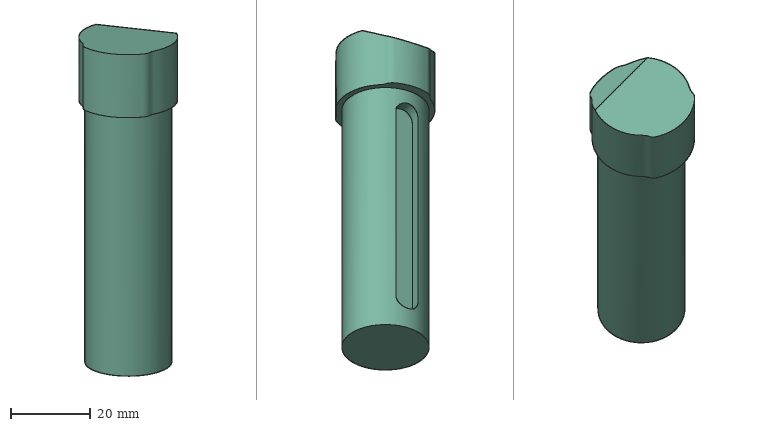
import cadquery as cq
import math

total_length = 87.0
head_height = 16.9
shaft_diameter = 22.0

lobe_radius = 13.5
side_radius = 12.485
blend_radius = 3.0
front_lobe_half_angle = 35.2
back_lobe_half_angle = 21.0

slope_start_y = 6.4
slope_angle = 30.0

slot_width = 6.5
slot_bottom = 5.7
slot_top = 66.4
slot_depth = slot_width / 2

head_bottom = total_length - head_height


def polar(radius, angle):
    """Point at an angle in degrees measured from the +Y axis toward +X."""
    return (radius * math.sin(math.radians(angle)), radius * math.cos(math.radians(angle)))


def blend_points(lobe_half_angle):
    """Points of the S-shaped blend on the +X side of a lobe about +Y.

    A convex arc leaves the lobe, then an equal concave arc meets the side circle.
    The points run from start to end: start, convex middle, joint, concave middle, end.
    """
    convex_distance = lobe_radius - blend_radius
    concave_distance = side_radius + blend_radius
    center_gap = 2 * blend_radius
    cosine = (convex_distance**2 + concave_distance**2 - center_gap**2) / (
        2 * convex_distance * concave_distance
    )
    end_angle = lobe_half_angle + math.degrees(math.acos(cosine))

    convex_center = cq.Vector(*polar(convex_distance, lobe_half_angle))
    concave_center = cq.Vector(*polar(concave_distance, end_angle))
    start = cq.Vector(*polar(lobe_radius, lobe_half_angle))
    end = cq.Vector(*polar(side_radius, end_angle))
    joint = (convex_center + concave_center) / 2

    def arc_middle(center, first, last):
        direction = (first + last) / 2 - center
        return center + direction.normalized() * blend_radius

    convex_middle = arc_middle(convex_center, start, joint)
    concave_middle = arc_middle(concave_center, joint, end)
    return [(p.x, p.y) for p in (start, convex_middle, joint, concave_middle, end)]


def mirror_x(points):
    return [(-x, y) for x, y in points]


def mirror_y(points):
    return [(x, -y) for x, y in points]


def make_head():
    back_right = blend_points(back_lobe_half_angle)
    front_right = mirror_y(blend_points(front_lobe_half_angle))[::-1]
    front_left = mirror_x(front_right)[::-1]
    back_left = mirror_x(back_right)[::-1]

    stretches = [
        (back_right, (side_radius, 0)),
        (front_right, (0, -lobe_radius)),
        (front_left, (-side_radius, 0)),
        (back_left, (0, lobe_radius)),
    ]
    next_starts = [front_right[0], front_left[0], back_left[0], back_right[0]]

    outline = cq.Workplane("XY").workplane(offset=head_bottom).moveTo(*back_right[0])
    for (blend, middle), next_start in zip(stretches, next_starts):
        outline = (
            outline.threePointArc(blend[1], blend[2])
            .threePointArc(blend[3], blend[4])
            .threePointArc(middle, next_start)
        )
    return outline.close().extrude(head_height)


def make_slope_cutter():
    wedge_length = lobe_radius
    wedge_drop = wedge_length * math.tan(math.radians(slope_angle))
    return (
        cq.Workplane("YZ")
        .moveTo(slope_start_y, total_length)
        .lineTo(slope_start_y + wedge_length, total_length)
        .lineTo(slope_start_y + wedge_length, total_length - wedge_drop)
        .close()
        .extrude(lobe_radius, both=True)
    )


def make_slot_cutter():
    shaft_radius = shaft_diameter / 2
    return (
        cq.Workplane("XZ")
        .workplane(offset=slot_depth - shaft_radius)
        .center(0, (slot_bottom + slot_top) / 2)
        .slot2D(slot_top - slot_bottom, slot_width, 90)
        .extrude(-slot_depth)
    )


shaft = cq.Workplane("XY").circle(shaft_diameter / 2).extrude(head_bottom)
head = make_head().cut(make_slope_cutter())
result = shaft.cut(make_slot_cutter()).union(head)